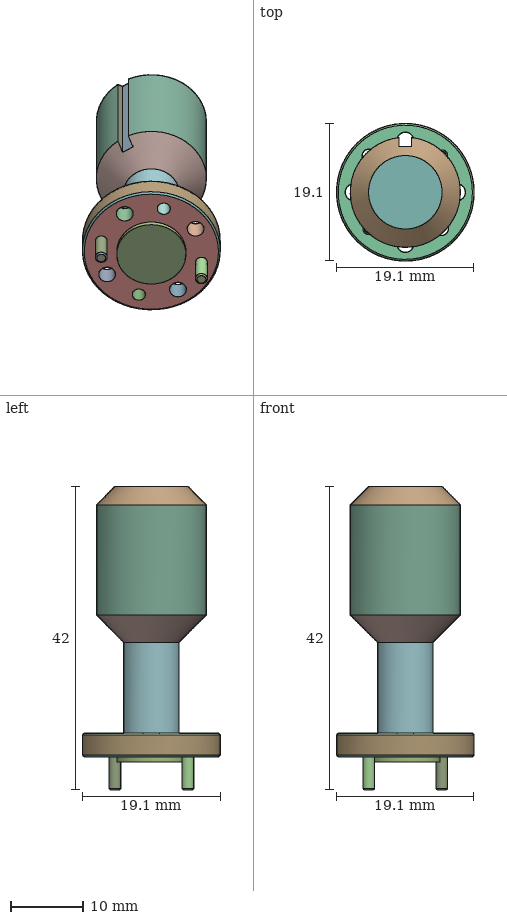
import cadquery as cq
import math

TOTAL_HEIGHT = 41.95
PIN_PROJECTION = 4.57
FLANGE_THICKNESS = 3.3
PILOT_HEIGHT = 0.7

FLANGE_DIAMETER = 19.05
FLANGE_CHAMFER = 0.25
PILOT_DIAMETER = 9.55

STEM_DIAMETER = 7.7
KNOB_DIAMETER = 15.25
KNOB_TOP_DIAMETER = 10.15
KNOB_BODY_HEIGHT = 15.25
KEYWAY_WIDTH = 1.68
KEYWAY_FLOOR = 6.35

HOLE_CIRCLE_RADIUS = 7.15
BOLT_HOLE_DIAMETER = 2.3
DOWEL_HOLE_DIAMETER = 1.8
PIN_DIAMETER = 1.65
PIN_CHAMFER = 0.2
BOLT_ANGLES = (0, 90, 180, 270)
DOWEL_HOLE_ANGLES = (135, 315)
PIN_ANGLES = (45, 225)

flange_bottom = PIN_PROJECTION
flange_top = flange_bottom + FLANGE_THICKNESS
knob_body_top = TOTAL_HEIGHT - (KNOB_DIAMETER - KNOB_TOP_DIAMETER) / 2
knob_body_bottom = knob_body_top - KNOB_BODY_HEIGHT
stem_top = knob_body_bottom - (KNOB_DIAMETER - STEM_DIAMETER) / 2


def on_circle(angle):
    """Point on the hole circle at an angle in degrees from +X."""
    turn = math.radians(angle)
    return (HOLE_CIRCLE_RADIUS * math.cos(turn), HOLE_CIRCLE_RADIUS * math.sin(turn))


def flange_holes(diameter, angles):
    """Cutters for holes through the whole flange."""
    return (
        cq.Workplane("XY", origin=(0, 0, flange_bottom))
        .pushPoints([on_circle(angle) for angle in angles])
        .circle(diameter / 2)
        .extrude(FLANGE_THICKNESS)
    )


def make_flange_blank():
    """Chamfered disc with the pilot boss below it."""
    disc = (
        cq.Workplane("XY", origin=(0, 0, flange_bottom))
        .circle(FLANGE_DIAMETER / 2)
        .extrude(FLANGE_THICKNESS)
        .edges()
        .chamfer(FLANGE_CHAMFER)
    )
    pilot = (
        cq.Workplane("XY", origin=(0, 0, flange_bottom - PILOT_HEIGHT))
        .circle(PILOT_DIAMETER / 2)
        .extrude(PILOT_HEIGHT)
    )
    return disc.union(pilot)


def make_stem_and_knob():
    """Turned stem and double-coned knob, revolved about Z."""
    return (
        cq.Workplane("XZ")
        .moveTo(0, flange_top)
        .lineTo(STEM_DIAMETER / 2, flange_top)
        .lineTo(STEM_DIAMETER / 2, stem_top)
        .lineTo(KNOB_DIAMETER / 2, knob_body_bottom)
        .lineTo(KNOB_DIAMETER / 2, knob_body_top)
        .lineTo(KNOB_TOP_DIAMETER / 2, TOTAL_HEIGHT)
        .lineTo(0, TOTAL_HEIGHT)
        .close()
        .revolve(360, (0, 0), (0, 1))
    )


def make_keyway():
    """Cutter for the flat-floored slot along the +Y side of the knob."""
    return (
        cq.Workplane("XY", origin=(0, KEYWAY_FLOOR + KNOB_DIAMETER / 2, stem_top))
        .rect(KEYWAY_WIDTH, KNOB_DIAMETER)
        .extrude(TOTAL_HEIGHT - stem_top)
    )


def make_load():
    """Flange, stem and knob as one body, with its keyway and holes."""
    return (
        make_flange_blank()
        .union(make_stem_and_knob())
        .cut(make_keyway())
        .cut(flange_holes(BOLT_HOLE_DIAMETER, BOLT_ANGLES))
        .cut(flange_holes(DOWEL_HOLE_DIAMETER, DOWEL_HOLE_ANGLES))
        .cut(flange_holes(PIN_DIAMETER, PIN_ANGLES))
    )


def make_pin(angle):
    """Dowel pin, chamfered at both ends and flush with the flange top."""
    return (
        cq.Workplane("XY")
        .center(*on_circle(angle))
        .circle(PIN_DIAMETER / 2)
        .extrude(flange_top)
        .edges("%CIRCLE")
        .chamfer(PIN_CHAMFER)
    )


load = make_load()
pins = [make_pin(angle) for angle in PIN_ANGLES]

result = cq.Compound.makeCompound([load.val(), *[pin.val() for pin in pins]])